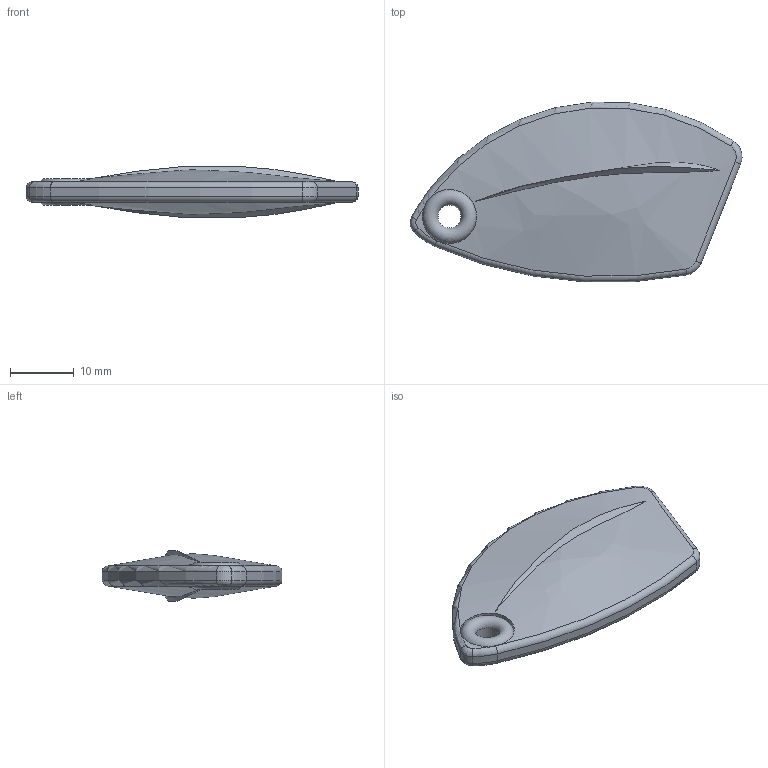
import cadquery as cq
import math


arc_centre_x = 24.75
upper_radius = 35.1
upper_crown_y = 18.06
lower_radius = 67.2
lower_crown_y = -10.37
upper_centre_y = upper_crown_y - upper_radius
lower_centre_y = lower_crown_y + lower_radius
slant_top_x = 46.62
slant_bottom_x = 38.95
tip_x = -6.6
tip_blend_x = -2.35
slant_corner_radius = 3.0
tip_corner_radius = 2.0

rim_half_height = 1.58
rim_fillet = 0.92
dome_point = (25.0, 2.5, 3.42)

ring_outer_radius = 4.25
ring_inner_radius = 1.8
ring_half_height = 2.12
ring_wall = ring_outer_radius - ring_inner_radius
ring_mean_radius = (ring_outer_radius + ring_inner_radius) / 2

fin_start = (4.1, 2.38, 2.1)
fin_end = (42.4, 7.25, 1.72)
fin_stations_x = (12.2, 21.9, 28.1, 36.2)
fin_crest_yz = ((5.0, 3.4), (6.85, 4.125), (7.7, 4.0), (7.75, 3.03))
fin_steep_foot_yz = ((4.0, 2.6), (5.8, 2.9), (6.45, 2.75), (6.7, 2.0))
fin_shallow_foot_yz = ((4.95, 2.6), (6.8, 2.9), (7.85, 2.75), (8.75, 1.9))


def upper_arc_y(x):
    """Y of the upper outline arc at the given X."""
    return upper_centre_y + math.sqrt(upper_radius**2 - (x - arc_centre_x) ** 2)


def lower_arc_y(x):
    """Y of the lower outline arc at the given X."""
    return lower_centre_y - math.sqrt(lower_radius**2 - (x - arc_centre_x) ** 2)


def make_core():
    """Flat plate with rounded corners and rounded rims."""
    tip = (tip_x, upper_arc_y(tip_x))
    slant_top = (slant_top_x, upper_arc_y(slant_top_x))
    slant_bottom = (slant_bottom_x, lower_arc_y(slant_bottom_x))
    blend_start = (tip_blend_x, lower_arc_y(tip_blend_x))
    core = (
        cq.Workplane("XY", origin=(0, 0, -rim_half_height))
        .moveTo(*tip)
        .threePointArc((arc_centre_x, upper_crown_y), slant_top)
        .lineTo(*slant_bottom)
        .threePointArc((arc_centre_x, lower_crown_y), blend_start)
        .tangentArcPoint(tip, relative=False)
        .close()
        .extrude(2 * rim_half_height)
    )
    core = core.edges("|Z").edges(">>X[-1] or >>X[-2]").fillet(slant_corner_radius)
    core = core.edges("|Z").edges("<X").fillet(tip_corner_radius)
    return core.faces("|Z").edges().fillet(rim_fillet)


def make_crowned_plate():
    """Core whose flat faces are replaced by crowned ones that keep the same boundary."""
    core = make_core()
    top_boundary = core.faces(">Z").val().outerWire().Edges()
    top_crown = cq.Face.makeNSidedSurface(top_boundary, [cq.Vector(*dome_point)])
    bottom_crown = top_crown.mirror("XY")
    rim = core.faces("not |Z").vals()
    return cq.Solid.makeSolid(cq.Shell.makeShell([*rim, top_crown, bottom_crown]))


def fin_edge(station_points_yz):
    """Smooth edge from the fin's start to its end through the station points."""
    stations = [(x, y, z) for x, (y, z) in zip(fin_stations_x, station_points_yz)]
    return cq.Edge.makeSpline([cq.Vector(*point) for point in (fin_start, *stations, fin_end)])


def make_fin():
    """Ridge of triangular section, bounded by its crest and two feet."""
    crest = fin_edge(fin_crest_yz)
    steep_foot = fin_edge(fin_steep_foot_yz)
    shallow_foot = fin_edge(fin_shallow_foot_yz)
    sides = [
        cq.Face.makeRuledSurface(crest, steep_foot),
        cq.Face.makeRuledSurface(steep_foot, shallow_foot),
        cq.Face.makeRuledSurface(shallow_foot, crest),
    ]
    return cq.Solid.makeSolid(cq.Shell.makeShell(sides))


def make_plate():
    """Crowned plate with a round seat for the ring and a fin on each face."""
    ring_seat = cq.Workplane("XY").circle(ring_outer_radius).extrude(2 * ring_half_height, both=True)
    fin = cq.Workplane(make_fin())
    return cq.Workplane(make_crowned_plate()).cut(ring_seat).union(fin).union(fin.mirror("XY"))


def make_ring():
    """Eyelet whose wall has a stadium section, so both rims are fully round."""
    return (
        cq.Workplane("XZ")
        .moveTo(ring_mean_radius, 0)
        .slot2D(2 * ring_half_height, ring_wall, 90)
        .revolve(360, (0, 0), (0, 1))
    )


plate = make_plate()
ring = make_ring()
result = cq.Compound.makeCompound([plate.val(), ring.val()])